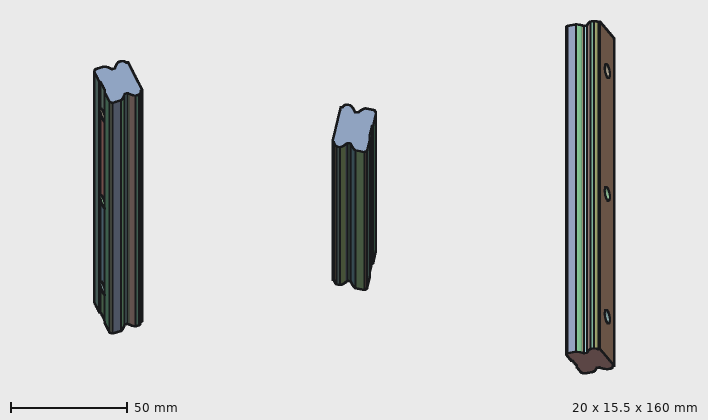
import cadquery as cq

length = 160.0
width = 20.0
height = 15.5
half_width = width / 2

crown_half = 8.3
crown_lip = 0.8
shoulder_depth = 2.2

waist_y = 8.3
waist_half_opening = 3.4
relief_half_opening = 1.3
relief_floor_half = 0.6
raceway_half = 8.2
relief_half = 7.4
raceway_sag = 0.2
shoulder_sag = 0.24

hole_count = 3
hole_pitch = 60.0
hole_diameter = hole_pitch / 10

base_chamfer = 1.0
channel_half = hole_diameter / 2
channel_depth = 0.5

base_edge = [
    (channel_half - channel_depth, channel_depth),
    (channel_half, 0),
    (half_width - base_chamfer, 0),
    (half_width, base_chamfer),
    (half_width, waist_y - waist_half_opening),
]
relief_groove = [
    (raceway_half, waist_y - relief_half_opening),
    (relief_half, waist_y - relief_floor_half),
    (relief_half, waist_y + relief_floor_half),
    (raceway_half, waist_y + relief_half_opening),
]
upper_side = [
    (half_width, waist_y + waist_half_opening),
    (half_width, height - shoulder_depth),
]
crown_side = [
    (crown_half, height - crown_lip),
    (crown_half, height),
]


def add_line_chain(outline, points):
    """Continue the outline with straight edges through the points."""
    for point in points:
        outline = outline.lineTo(*point)
    return outline


def build_half_rail():
    """Extrude the half of the rail at positive X."""
    outline = cq.Workplane("XY").moveTo(0, channel_depth)
    outline = add_line_chain(outline, base_edge)
    outline = outline.sagittaArc(relief_groove[0], -raceway_sag)
    outline = add_line_chain(outline, relief_groove[1:])
    outline = outline.sagittaArc(upper_side[0], -raceway_sag)
    outline = add_line_chain(outline, upper_side[1:])
    outline = outline.sagittaArc(crown_side[0], -shoulder_sag)
    outline = add_line_chain(outline, crown_side[1:])
    return outline.lineTo(0, height).close().extrude(length)


def build_mounting_holes():
    """Cylinders through the full height of the rail, centred along its length."""
    first_z = (length - (hole_count - 1) * hole_pitch) / 2
    centres = [(0, first_z + i * hole_pitch) for i in range(hole_count)]
    return cq.Workplane("XZ").pushPoints(centres).circle(hole_diameter / 2).extrude(-height)


half_rail = build_half_rail()
rail = half_rail.union(half_rail.mirror("YZ")).clean()
result = rail.cut(build_mounting_holes())